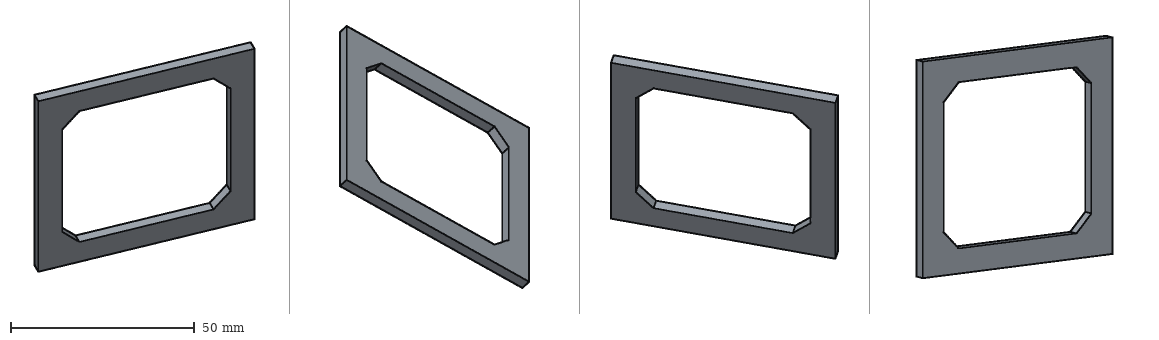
import cadquery as cq

thickness = 3.0
width = 63.0
height = 60.0

rim = 7.0
corner_cut = 5.0
window_width = width - 2 * rim
window_height = height - 2 * rim

plate = cq.Workplane("XY").box(thickness, width, height)
window = (
    cq.Workplane("XY")
    .box(thickness, window_width, window_height)
    .edges("|X")
    .chamfer(corner_cut)
)

result = plate.cut(window)